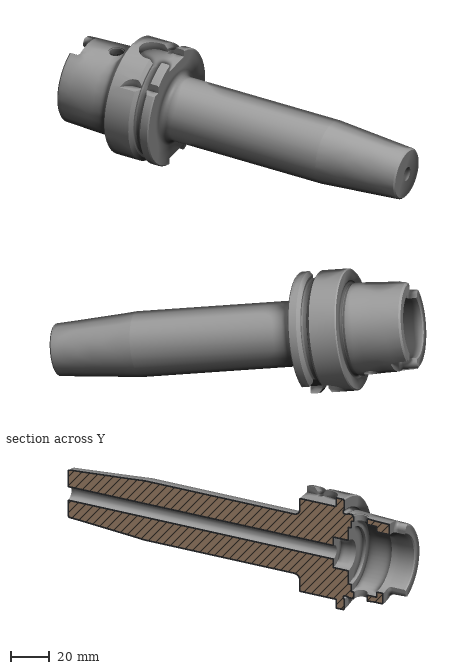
import cadquery as cq
import math

length = 192.0

shank_length = 32.0
shank_mouth_radius = 22.8
shank_base_radius = 24.0
shank_base_x = 29.5
mouth_outer_chamfer = 1.0
relief_radius = 23.5
relief_slope = 1.2
relief_width = 0.5
relief_depth = 0.5
relief_rim_radius = 25.3

flange_radius = 31.5
flange_end = 58.0
flange_chamfer = 0.5
groove_centre = 50.0
groove_mouth_width = 7.0
groove_floor_width = 3.5
groove_wall_radius = 29.4
groove_floor_radius = 27.3
groove_floor_chamfer = 0.8

body_radius = 34.0 / 2
body_fillet = 3.0
nose_start = 147.6
nose_radius = 13.6
nose_chamfer = 0.8

bore_radius = 34.0 / 2
bore_mouth_chamfer = 0.5
bore_lip_end = 13.5
cavity_radius = 20.0
cavity_end = 27.8
recess_radius = 16.0
recess_end = 29.8
pocket_radius = 17.0 / 2
pocket_end = 38.4
coolant_radius = 7.5 / 2

drive_half_width = 6.3
drive_edge_round = 2.9
drive_shoulder_height = 20.5
drive_floor_fillet = 1.7
upper_drive_depth = 6.0
lower_drive_depth = 9.6

cross_hole_x = 22.8
cross_hole_radius = 7.5 / 2
cross_rim_radius = 4.2
cross_rim_depth = 0.8

keyway_radius = 16.0 / 2
keyway_start = 36.9
keyway_floor = 26.5
notch_start = keyway_start
notch_offset = 20.0

clearance = 3.8


def shank_radius_at(x):
    """Outer radius of the taper at distance x from the mouth."""
    return shank_mouth_radius + (shank_base_radius - shank_mouth_radius) * x / shank_base_x


def turned_body():
    """Outer shape of the holder, revolved about X."""
    relief_end = shank_base_x + relief_slope + relief_width
    groove_left = groove_centre - groove_mouth_width / 2
    groove_right = groove_centre + groove_mouth_width / 2
    floor_left = groove_centre - groove_floor_width / 2
    floor_right = groove_centre + groove_floor_width / 2
    fillet_x = flange_end + body_fillet * (1 - math.sqrt(0.5))
    fillet_r = body_radius + body_fillet * (1 - math.sqrt(0.5))
    profile = (
        cq.Workplane("XY")
        .moveTo(0, 0)
        .lineTo(0, shank_mouth_radius - mouth_outer_chamfer)
        .lineTo(mouth_outer_chamfer, shank_radius_at(mouth_outer_chamfer))
        .lineTo(shank_base_x, shank_base_radius)
        .lineTo(shank_base_x + relief_slope, relief_radius)
        .lineTo(relief_end, relief_radius)
        .threePointArc(
            (shank_length + relief_depth, (relief_radius + relief_rim_radius) / 2),
            (shank_length, relief_rim_radius),
        )
        .lineTo(shank_length, flange_radius - flange_chamfer)
        .lineTo(shank_length + flange_chamfer, flange_radius)
        .lineTo(groove_left, flange_radius)
        .lineTo(floor_left, groove_wall_radius)
        .lineTo(floor_left, groove_floor_radius + groove_floor_chamfer)
        .lineTo(floor_left + groove_floor_chamfer, groove_floor_radius)
        .lineTo(floor_right - groove_floor_chamfer, groove_floor_radius)
        .lineTo(floor_right, groove_floor_radius + groove_floor_chamfer)
        .lineTo(floor_right, groove_wall_radius)
        .lineTo(groove_right, flange_radius)
        .lineTo(flange_end - flange_chamfer, flange_radius)
        .lineTo(flange_end, flange_radius - flange_chamfer)
        .lineTo(flange_end, body_radius + body_fillet)
        .threePointArc((fillet_x, fillet_r), (flange_end + body_fillet, body_radius))
        .lineTo(nose_start, body_radius)
        .lineTo(length - nose_chamfer, nose_radius)
        .lineTo(length, nose_radius - nose_chamfer)
        .lineTo(length, 0)
        .close()
    )
    return profile.revolve(360, (0, 0, 0), (1, 0, 0))


def bore():
    """Clamping cavity, stepped floor and the coolant hole through the whole holder."""
    profile = (
        cq.Workplane("XY")
        .moveTo(0, 0)
        .lineTo(0, bore_radius + bore_mouth_chamfer)
        .lineTo(bore_mouth_chamfer, bore_radius)
        .lineTo(bore_lip_end, bore_radius)
        .lineTo(bore_lip_end, cavity_radius)
        .lineTo(cavity_end, cavity_radius)
        .lineTo(cavity_end, recess_radius)
        .lineTo(recess_end, recess_radius)
        .lineTo(recess_end, pocket_radius)
        .lineTo(pocket_end, pocket_radius)
        .lineTo(pocket_end, coolant_radius)
        .lineTo(length, coolant_radius)
        .lineTo(length, 0)
        .close()
    )
    return profile.revolve(360, (0, 0, 0), (1, 0, 0))


def drive_slot(depth):
    """Cutter for the +Z drive slot: straight walls that round over onto the shank."""
    wall_top = drive_shoulder_height - drive_edge_round
    shoulder = drive_half_width + drive_edge_round
    arc_y = shoulder - drive_edge_round * math.sqrt(0.5)
    arc_z = wall_top + drive_edge_round * math.sqrt(0.5)
    top = shank_base_radius + clearance
    bottom = bore_radius / 2
    return (
        cq.Workplane("YZ")
        .moveTo(-drive_half_width, bottom)
        .lineTo(drive_half_width, bottom)
        .lineTo(drive_half_width, wall_top)
        .threePointArc((arc_y, arc_z), (shoulder, drive_shoulder_height))
        .lineTo(shoulder, top)
        .lineTo(-shoulder, top)
        .lineTo(-shoulder, drive_shoulder_height)
        .threePointArc((-arc_y, arc_z), (-drive_half_width, wall_top))
        .close()
        .extrude(depth)
        .faces(">X")
        .edges()
        .fillet(drive_floor_fillet)
    )


def cross_hole():
    """Radial hole through both shank walls, with a slightly widened upper rim."""
    reach = shank_base_radius + clearance
    rim_floor = shank_radius_at(cross_hole_x) - cross_rim_depth
    hole = cq.Workplane("XY", origin=(cross_hole_x, 0, -reach)).circle(cross_hole_radius).extrude(2 * reach)
    rim = cq.Workplane("XY", origin=(cross_hole_x, 0, rim_floor)).circle(cross_rim_radius).extrude(clearance)
    return hole.union(rim)


def round_ended_slot(start, floor):
    """Slot along X with a round end, cut down to a flat floor and open at the back of the flange."""
    centre = start + keyway_radius
    height = flange_radius + clearance - floor
    end = cq.Workplane("XY", origin=(centre, 0, floor)).circle(keyway_radius).extrude(height)
    run = cq.Workplane("XY", origin=(centre, 0, floor)).box(
        flange_end - centre, 2 * keyway_radius, height, centered=(False, True, False)
    )
    return end.union(run)


def half_turn(cutter):
    """The same cutter on the opposite side of the axis."""
    return cutter.rotate((0, 0, 0), (1, 0, 0), 180)


keyway = round_ended_slot(keyway_start, keyway_floor)
notch = round_ended_slot(notch_start, notch_offset).translate((0, -notch_offset - keyway_radius, 0))

result = (
    turned_body()
    .cut(bore())
    .cut(drive_slot(upper_drive_depth))
    .cut(half_turn(drive_slot(lower_drive_depth)))
    .cut(cross_hole())
    .cut(keyway)
    .cut(half_turn(keyway))
    .cut(notch)
)